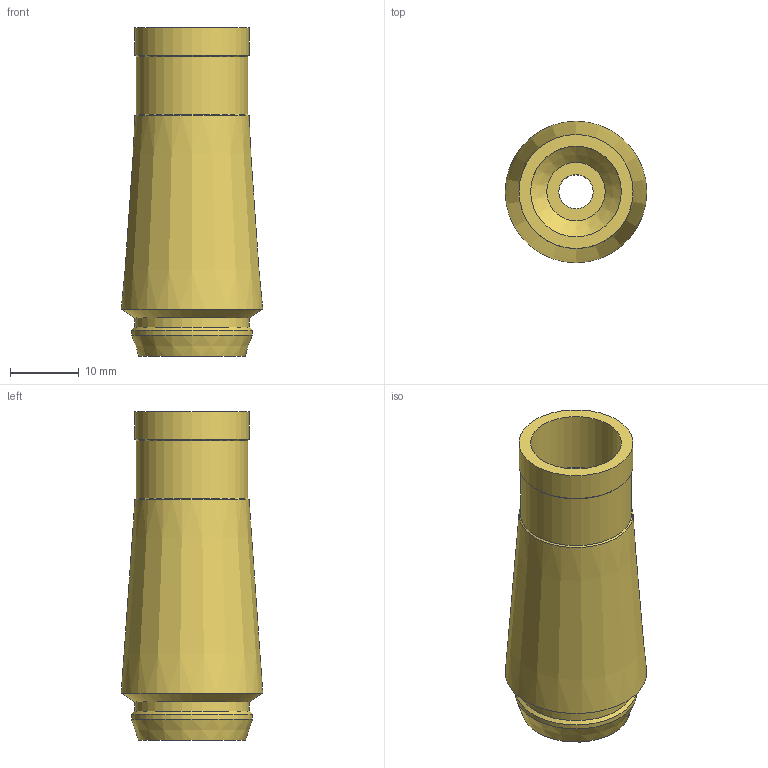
import cadquery as cq

total_height = 47.9
tip_height = 3.1
lip_top = 3.8
flare_height = 6.9

groove_height = 1.4
collar_height = 4.07
top_to_shoulder = 12.83

tip_radius = 7.75
lip_radius = 8.8
groove_radius = 8.35
flare_radius = 10.3
shoulder_radius = 8.3
neck_radius = 8.1
collar_radius = 8.3

bore_radius = 6.6
bore_depth = 9.05
funnel_floor_radius = 4.25
through_hole_radius = 2.5

groove_bottom = lip_top + (lip_radius - groove_radius)
groove_top = groove_bottom + groove_height
shoulder_height = total_height - top_to_shoulder
neck_bottom = shoulder_height + (shoulder_radius - neck_radius)
collar_bottom = total_height - collar_height
neck_top = collar_bottom - (collar_radius - neck_radius)
bore_bottom = total_height - bore_depth
funnel_floor_height = bore_bottom - (bore_radius - funnel_floor_radius)

outer_profile = [
    (tip_radius, 0),
    (lip_radius, tip_height),
    (lip_radius, lip_top),
    (groove_radius, groove_bottom),
    (groove_radius, groove_top),
    (flare_radius, flare_height),
    (shoulder_radius, shoulder_height),
    (neck_radius, neck_bottom),
    (neck_radius, neck_top),
    (collar_radius, collar_bottom),
    (collar_radius, total_height),
]

bore_profile = [
    (through_hole_radius, 0),
    (through_hole_radius, funnel_floor_height),
    (funnel_floor_radius, funnel_floor_height),
    (bore_radius, bore_bottom),
    (bore_radius, total_height),
]


def turned(profile):
    """Solid of revolution about Z, filled from the profile to the axis."""
    top = profile[-1][1]
    half_section = [(0, 0)] + profile + [(0, top)]
    return cq.Workplane("YZ").polyline(half_section).close().revolve(360, (0, 0, 0), (0, 1, 0))


result = turned(outer_profile).cut(turned(bore_profile))